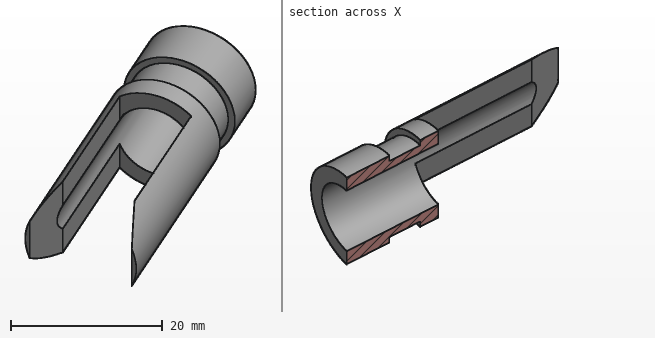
import cadquery as cq
import math

length = 40.0
outer_diameter = 15.9
groove_diameter = 14.0
bore_diameter = 11.0
head_length = 7.0
groove_width = 5.0
slot_start = 15.0
slot_width = 10.25
taper_length = 6.0
taper_angle = 20.0

head_end_y = length / 2
tip_y = -length / 2
groove_start_y = head_end_y - head_length
slot_floor_y = head_end_y - slot_start
taper_start_y = tip_y + taper_length
slot_half = slot_width / 2
mouth_half = slot_half + taper_length * math.tan(math.radians(taper_angle))


def cylinder(diameter, start_y, height):
    """Cylinder on the Y axis, extending from start_y toward -Y."""
    plane = cq.Workplane("XZ", origin=(0, start_y, 0))
    return plane.circle(diameter / 2).extrude(height)


body = cylinder(outer_diameter, head_end_y, length)
groove = cylinder(outer_diameter, groove_start_y, groove_width).cut(
    cylinder(groove_diameter, groove_start_y, groove_width)
)
bore = cylinder(bore_diameter, head_end_y, length)

slot = (
    cq.Workplane("XY")
    .moveTo(-slot_half, slot_floor_y)
    .lineTo(slot_half, slot_floor_y)
    .lineTo(slot_half, taper_start_y)
    .lineTo(mouth_half, tip_y)
    .lineTo(-mouth_half, tip_y)
    .lineTo(-slot_half, taper_start_y)
    .close()
    .extrude(outer_diameter / 2, both=True)
)

result = body.cut(groove).cut(bore).cut(slot)